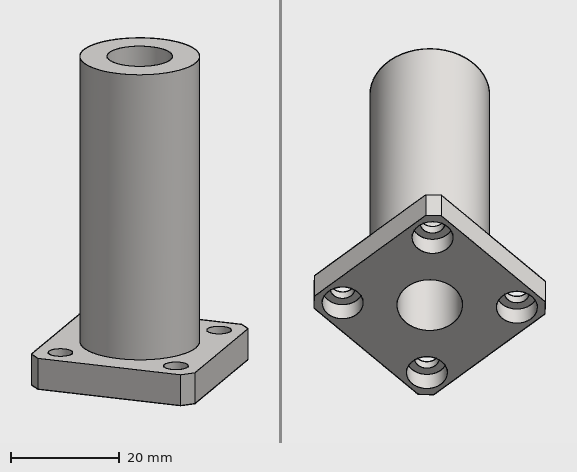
import cadquery as cq

flange_side = 32.0
flange_thickness = 6.0
corner_chamfer = 2.0

total_height = 61.0
sleeve_diameter = 22.0
bore_diameter = 12.0

hole_diameter = 4.5
hole_spacing = 22.65
counterbore_diameter = 7.5
counterbore_depth = 4.1


def make_flange():
    """Square plate with bevelled vertical corners and its base on Z = 0."""
    plate = cq.Workplane("XY").box(
        flange_side, flange_side, flange_thickness, centered=(True, True, False)
    )
    return plate.edges("|Z").chamfer(corner_chamfer)


def make_sleeve():
    """Solid cylinder over the full height of the part."""
    return cq.Workplane("XY").circle(sleeve_diameter / 2).extrude(total_height)


def make_bore():
    """Central passage through the sleeve and flange."""
    return cq.Workplane("XY").circle(bore_diameter / 2).extrude(total_height)


def make_hole_pattern(diameter, depth):
    """Four cylinders rising from the base of the flange, one near each corner."""
    return (
        cq.Workplane("XY")
        .rect(hole_spacing, hole_spacing, forConstruction=True)
        .vertices()
        .circle(diameter / 2)
        .extrude(depth)
    )


result = (
    make_flange()
    .union(make_sleeve())
    .cut(make_bore())
    .cut(make_hole_pattern(hole_diameter, flange_thickness))
    .cut(make_hole_pattern(counterbore_diameter, counterbore_depth))
)